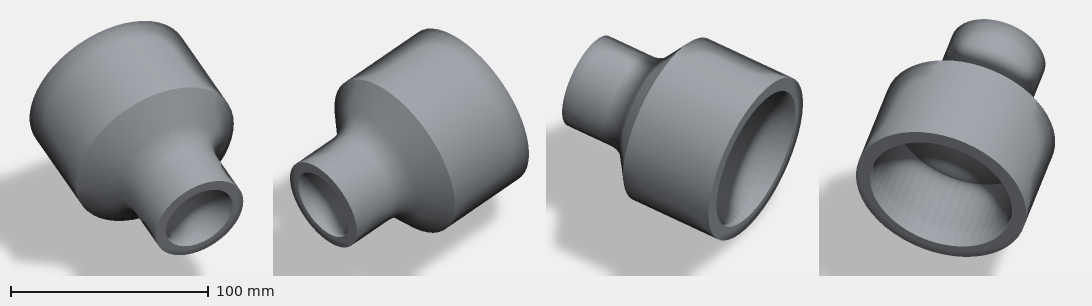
import cadquery as cq
import math

length = 100.0
large_radius = 90.0 / 2
small_radius = 50.0 / 2
large_bore_radius = 75.0 / 2
small_bore_radius = 38.0 / 2

large_length = 51.0
small_start = 74.0
neck_radius = 15.0
bore_depth = 44.0
throat_end = 67.0
throat_radius = 22.5


def arc_point(center, radius, angle):
    """Point (x, r) on an arc; angle is measured back from the point nearest the axis."""
    return (center[0] - radius * math.sin(angle), center[1] - radius * math.cos(angle))


def revolve_about_x(profile):
    """Close a half profile along the X axis and revolve it."""
    return profile.lineTo(length, 0).close().revolve(360, (0, 0, 0), (1, 0, 0))


def make_outside():
    """Solid envelope: large cylinder, cone tangent to the neck blend, small cylinder."""
    center = (small_start, small_radius + neck_radius)
    run = center[0] - large_length
    drop = large_radius - center[1]
    cone_angle = math.atan2(drop, run) + math.asin(neck_radius / math.hypot(run, drop))
    return revolve_about_x(
        cq.Workplane("XY")
        .lineTo(0, large_radius)
        .lineTo(large_length, large_radius)
        .lineTo(*arc_point(center, neck_radius, cone_angle))
        .threePointArc(
            arc_point(center, neck_radius, cone_angle / 2),
            arc_point(center, neck_radius, 0),
        )
        .lineTo(length, small_radius)
    )


def make_passage():
    """Through bore: large bore, convex rounded throat, small bore."""
    run = throat_end - bore_depth
    drop = large_bore_radius - small_bore_radius
    chord = math.hypot(run, drop)
    bulge = throat_radius - math.sqrt(throat_radius**2 - (chord / 2) ** 2)
    throat_middle = (
        (bore_depth + throat_end) / 2 - bulge * drop / chord,
        (large_bore_radius + small_bore_radius) / 2 - bulge * run / chord,
    )
    return revolve_about_x(
        cq.Workplane("XY")
        .lineTo(0, large_bore_radius)
        .lineTo(bore_depth, large_bore_radius)
        .threePointArc(throat_middle, (throat_end, small_bore_radius))
        .lineTo(length, small_bore_radius)
    )


result = make_outside().cut(make_passage())